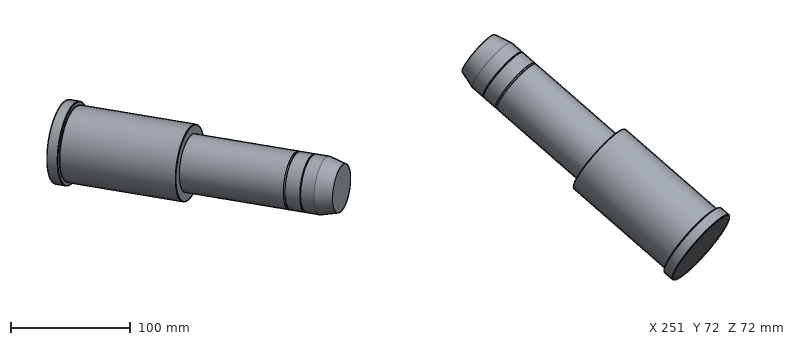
import cadquery as cq
import math

length = 251.0
head_diameter = 72.0
head_length = 10.0
head_chamfer = 0.5
body_diameter = 66.0
body_end = 115.0
body_chamfer = 0.5
shaft_diameter = 50.0
nose_length = 15.0
nose_angle = 15.0

undercut_width = 0.5
undercut_depth = 0.5
undercut_exit = 0.3

grooves = [(208.3, 1.5), (223.1, 0.8)]
groove_depth = 0.3

head_radius = head_diameter / 2
body_radius = body_diameter / 2
shaft_radius = shaft_diameter / 2
undercut_radius = body_radius - undercut_depth
undercut_end = head_length + undercut_width
nose_start = length - nose_length
tip_radius = shaft_radius - nose_length * math.tan(math.radians(nose_angle))


def turned_blank():
    """Head, undercut, body, shaft and tapered nose as one revolved profile."""
    profile = (
        cq.Workplane("XY")
        .moveTo(0, 0)
        .lineTo(0, head_radius - head_chamfer)
        .lineTo(head_chamfer, head_radius)
        .lineTo(head_length - head_chamfer, head_radius)
        .lineTo(head_length, head_radius - head_chamfer)
        .lineTo(head_length, undercut_radius)
        .lineTo(undercut_end, undercut_radius)
        .lineTo(undercut_end + undercut_exit, body_radius)
        .lineTo(body_end - body_chamfer, body_radius)
        .lineTo(body_end, body_radius - body_chamfer)
        .lineTo(body_end, shaft_radius)
        .lineTo(nose_start, shaft_radius)
        .lineTo(length, tip_radius)
        .lineTo(length, 0)
        .close()
    )
    return profile.revolve(360, (0, 0, 0), (1, 0, 0))


def groove_ring(start, width):
    """Ring of material to remove for one shaft groove."""
    return (
        cq.Workplane("YZ", origin=(start, 0, 0))
        .circle(shaft_radius + groove_depth)
        .circle(shaft_radius - groove_depth)
        .extrude(width)
    )


result = turned_blank()
for groove_start, groove_width in grooves:
    result = result.cut(groove_ring(groove_start, groove_width))